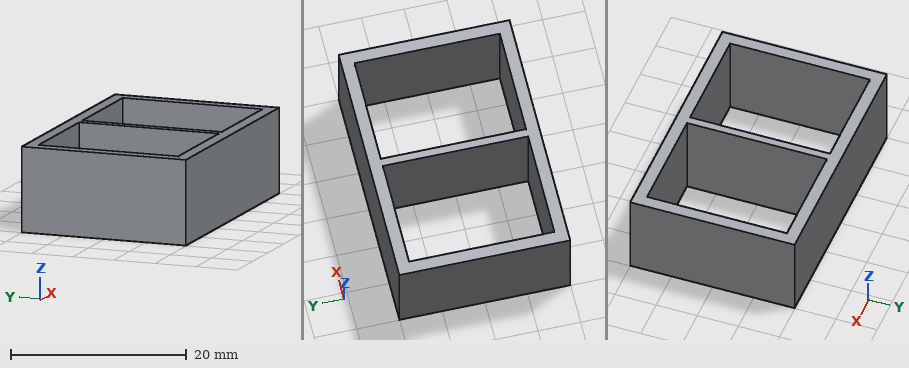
import cadquery as cq

length = 30.0
width = length * 2 / 3
height = length / 3

outer_wall = 1.5
divider = 1.0

opening_length = (length - 2 * outer_wall - divider) / 2
opening_width = width - 2 * outer_wall
opening_offset = (divider + opening_length) / 2

frame = cq.Workplane("XY").box(length, width, height)
result = (
    frame.faces(">Z")
    .workplane()
    .pushPoints([(-opening_offset, 0), (opening_offset, 0)])
    .rect(opening_length, opening_width)
    .cutThruAll()
)